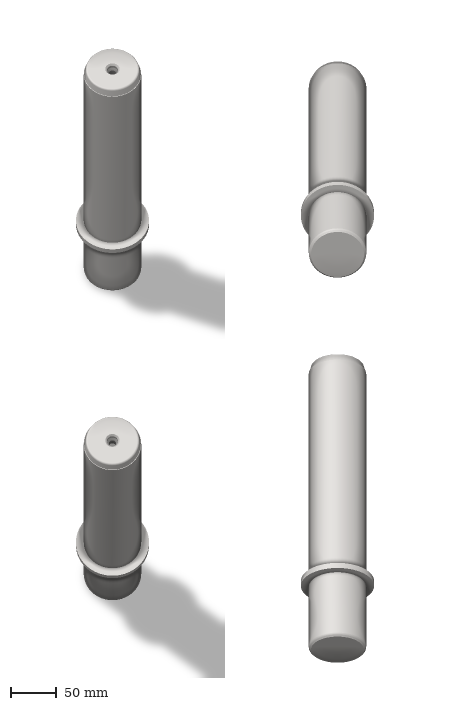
import cadquery as cq

length = 355.0
shaft_diameter = 63.0
shaft_radius = shaft_diameter / 2
flange_radius = 39.95

flange_bottom = 80.0
flange_thickness = 6.5
flange_top = flange_bottom + flange_thickness

relief_width = 1.0
relief_depth = 0.7

lead_height = 9.0
lead_base_radius = 31.0
lead_top_radius = 28.8
lead_rounding = 2.0

foot_chamfer = 2.5
foot_rounding = 3.0

mouth_radius = 7.8
bore_radius = 6.0
pilot_radius = 4.0
mouth_depth = 2.0
bore_depth = 5.0
cone_depth = 7.8
pilot_depth = 16.0


def make_shaft():
    """Plain shaft, chamfered at the foot and rounded above the chamfer."""
    shaft = cq.Workplane("XY").circle(shaft_radius).extrude(length - lead_height)
    shaft = shaft.faces("<Z").edges().chamfer(foot_chamfer)
    return shaft.edges("%CIRCLE").edges("<<Z[-2]").fillet(foot_rounding)


def make_lead_in():
    """Cone that starts just inside the shaft and ends in a rounded rim."""
    lead_in = (
        cq.Workplane("XY", origin=(0, 0, length - lead_height))
        .circle(lead_base_radius)
        .workplane(offset=lead_height)
        .circle(lead_top_radius)
        .loft()
    )
    return lead_in.faces(">Z").edges().fillet(lead_rounding)


def make_flange():
    return (
        cq.Workplane("XY", origin=(0, 0, flange_bottom))
        .circle(flange_radius)
        .extrude(flange_thickness)
    )


def make_relief_groove(bottom):
    return (
        cq.Workplane("XY", origin=(0, 0, bottom))
        .circle(shaft_radius)
        .circle(shaft_radius - relief_depth)
        .extrude(relief_width)
    )


def make_centre_hole():
    """Blind stepped hole, revolved about the shaft axis."""
    return (
        cq.Workplane("XZ")
        .moveTo(0, length)
        .lineTo(mouth_radius, length)
        .lineTo(bore_radius, length - mouth_depth)
        .lineTo(bore_radius, length - bore_depth)
        .lineTo(pilot_radius, length - cone_depth)
        .lineTo(pilot_radius, length - pilot_depth)
        .lineTo(0, length - pilot_depth)
        .close()
        .revolve(360, (0, 0, 0), (0, 1, 0))
    )


shaft = make_shaft()
for groove_bottom in (flange_bottom - relief_width, flange_top):
    shaft = shaft.cut(make_relief_groove(groove_bottom))

result = shaft.union(make_lead_in()).union(make_flange()).cut(make_centre_hole())